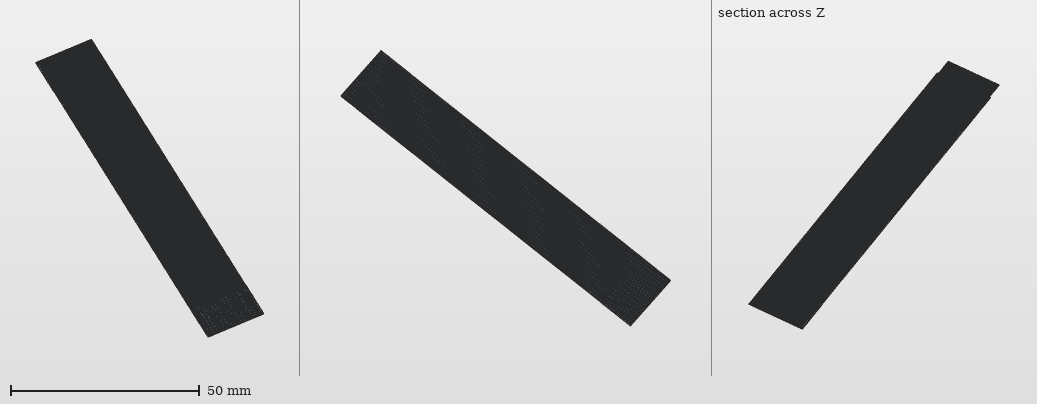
import cadquery as cq


length = 100.0
width = 16.5
total_thickness = 0.59
film_thickness = 0.045
conductor_thickness = 0.05
conductor_width = 0.3
conductor_pitch = 0.5
bare_length = 5.0
stiffener_length = 10.0

conductor_count = round(width / conductor_pitch) - 1

film_length = length - bare_length

cable_thickness = conductor_thickness + 2 * film_thickness
stiffener_thickness = (total_thickness - cable_thickness) / 2

bottom_film_z = stiffener_thickness
conductor_z = bottom_film_z + film_thickness
top_film_z = conductor_z + conductor_thickness
top_stiffener_z = top_film_z + film_thickness


def strip(start_x, strip_length, bottom_z, thickness, strip_width=width, center_y=0):
    """Flat strip running along X from start_x."""
    return (
        cq.Workplane("XY", origin=(start_x, center_y, bottom_z))
        .box(strip_length, strip_width, thickness, centered=(False, True, False))
    )


def conductor(index):
    """One full-length conductor, counted from the -Y edge."""
    center_y = (index - (conductor_count - 1) / 2) * conductor_pitch
    return strip(0, length, conductor_z, conductor_thickness, conductor_width, center_y)


bottom_film = strip(0, film_length, bottom_film_z, film_thickness)
top_film = strip(bare_length, film_length, top_film_z, film_thickness)
bottom_stiffener = strip(0, stiffener_length, 0, stiffener_thickness)
top_stiffener = strip(length - stiffener_length, stiffener_length, top_stiffener_z, stiffener_thickness)

result = bottom_film.union(bottom_stiffener)
for conductor_index in range(conductor_count):
    result = result.union(conductor(conductor_index))
result = result.union(top_film).union(top_stiffener)